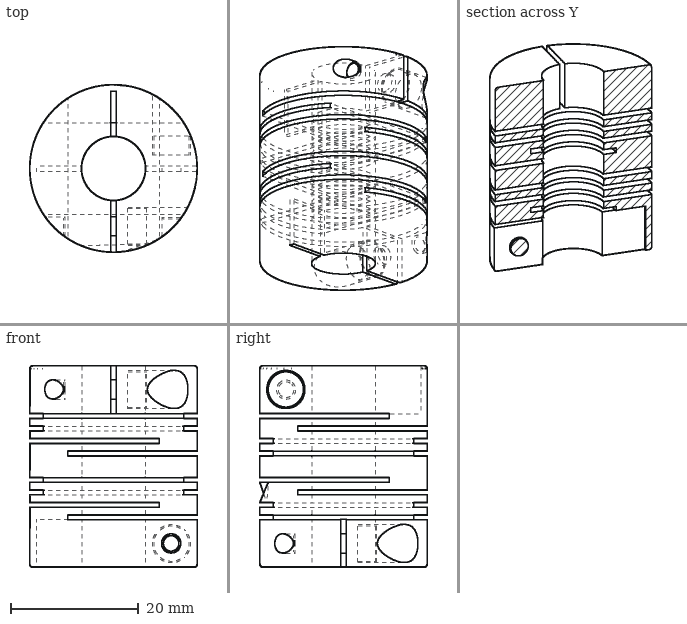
import cadquery as cq

height = 31.5
outer_diameter = 26.2
outer_radius = outer_diameter / 2
bore_diameter = 10.0
edge_round = 0.5

hub_height = 7.5
slot_height = 0.72
slot_pitch = 1.95
slot_reach = 7.12
group_spacing = 10.0
group_tops = (height - hub_height, height - hub_height - group_spacing)
web_angles = (90, 270, 0, 180)

slit_width = 0.88
slit_end = 12.05

screw_height = 27.78
screw_offset = 9.0
screw_diameter = 3.0
tip_chamfer = 0.28
tip_position = -7.88
shank_length = 10.0
seat_position = tip_position + shank_length
counterbore_diameter = 5.95
head_diameter = 5.5
head_length = 3.0


def x_cylinder(diameter, start, end):
    """Cylinder on the clamp screw axis, between two X positions."""
    return (
        cq.Workplane("YZ", origin=(start, -screw_offset, screw_height))
        .circle(diameter / 2)
        .extrude(end - start)
    )


def flexure_slot(top, web_angle):
    """Slab that cuts everything except a web on the side given by the angle."""
    return (
        cq.Workplane("XY", origin=(0, 0, top - slot_height))
        .center((slot_reach - outer_diameter) / 2, 0)
        .rect(outer_diameter + slot_reach, 2 * outer_diameter)
        .extrude(slot_height)
        .rotate((0, 0, 0), (0, 0, 1), web_angle)
    )


def clamp_cut():
    """Slit, screw hole and counterbore of the top hub."""
    slit = (
        cq.Workplane("XY", origin=(0, 0, height - hub_height))
        .center(0, (slit_end - outer_diameter) / 2)
        .rect(slit_width, slit_end + outer_diameter)
        .extrude(hub_height)
    )
    hole = x_cylinder(screw_diameter, -outer_radius, seat_position)
    counterbore = x_cylinder(counterbore_diameter, seat_position, outer_radius)
    return slit.union(hole).union(counterbore)


def clamp_screw():
    """Cap screw of the top hub, with a chamfered tip on the -X side."""
    shank = x_cylinder(screw_diameter, tip_position, seat_position)
    shank = shank.faces("<X").chamfer(tip_chamfer)
    head = x_cylinder(head_diameter, seat_position, seat_position + head_length)
    return shank.union(head)


def to_bottom_hub(feature):
    """Mirror a top-hub feature to the bottom hub and turn it a quarter turn."""
    flipped = feature.mirror("XY", (0, 0, height / 2))
    return flipped.rotate((0, 0, 0), (0, 0, 1), 90)


result = cq.Workplane("XY").circle(outer_radius).extrude(height)
result = result.edges().fillet(edge_round)
result = result.cut(cq.Workplane("XY").circle(bore_diameter / 2).extrude(height))

for group_top in group_tops:
    for index, angle in enumerate(web_angles):
        result = result.cut(flexure_slot(group_top - index * slot_pitch, angle))

cut = clamp_cut()
screw = clamp_screw()
result = result.cut(cut).cut(to_bottom_hub(cut))
result = result.union(screw).union(to_bottom_hub(screw))